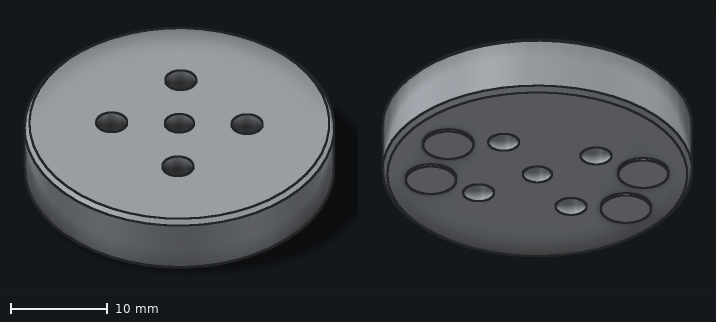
import cadquery as cq

plate_diameter = 32.0
overall_height = 6.85
pad_height = 0.3
plate_height = overall_height - pad_height
edge_chamfer = 0.5

center_hole_diameter = 3.0
outer_hole_diameter = 3.2
outer_hole_spacing = 9.9

pad_diameter = 5.2
pad_half_spacing_x = 3.43
pad_offset_x = -0.1
pad_half_spacing_y = 10.45


def make_plate():
    """Disc standing on the XY plane, chamfered on both rims."""
    disc = cq.Workplane("XY").circle(plate_diameter / 2).extrude(plate_height)
    return disc.edges().chamfer(edge_chamfer)


def make_pads():
    """Thin round pads below the plate, in a rectangle slightly off center along X."""
    return (
        cq.Workplane("XY")
        .center(pad_offset_x, 0)
        .rarray(2 * pad_half_spacing_x, 2 * pad_half_spacing_y, 2, 2)
        .circle(pad_diameter / 2)
        .extrude(-pad_height)
    )


def make_holes():
    """Center hole and four holes on a square, through the full height."""
    base = cq.Workplane("XY").workplane(offset=-pad_height)
    center = base.circle(center_hole_diameter / 2).extrude(overall_height)
    outer = (
        base.rarray(outer_hole_spacing, outer_hole_spacing, 2, 2)
        .circle(outer_hole_diameter / 2)
        .extrude(overall_height)
    )
    return center.union(outer)


result = make_plate().union(make_pads()).cut(make_holes())